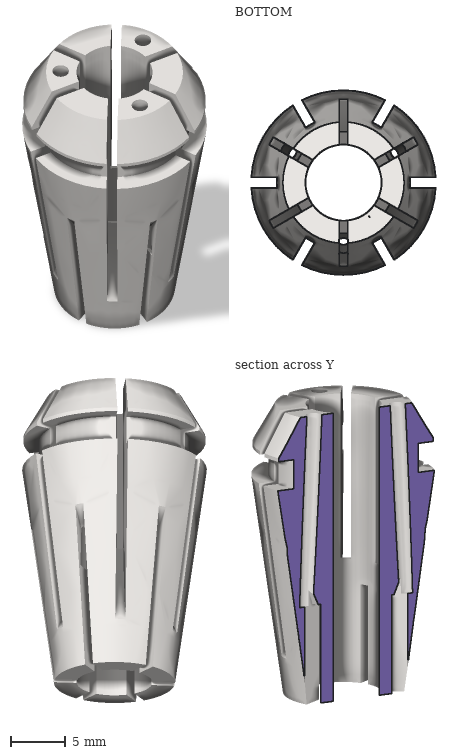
import cadquery as cq
import math

height = 27.5
bore_radius = 3.5
body_radius = 8.5
body_height = 20.8
taper_angle = 8.0
groove_radius = 6.93
head_radius = 8.4
head_height = 4.0
rim_height = 0.35
nose_angle = 30.0

slots_per_end = 6
slot_pitch = 360.0 / slots_per_end
slot_reach = body_radius + 1.38

top_slot_width = 0.95
top_saw_radius = 23.82
top_slot_inner = (3.75, 11.8)
top_slot_outer_z = 4.02
top_ledge_angle = 8.0

bottom_slot_width = 0.8
bottom_saw_radius = 20.08
bottom_slot_inner = (4.68, 9.4)
bottom_slot_outer_z = 14.95

hole_count = 3
hole_diameter = 1.5
hole_circle_radius = 4.95
hole_tilt = 3.1
hole_depth = 18.15
first_hole_angle = 90.0

taper_slope = math.tan(math.radians(taper_angle))
bottom_radius = body_radius - body_height * taper_slope


def taper_radius(z):
    """Radius of the clamping taper at height z."""
    return bottom_radius + z * taper_slope


def make_body():
    """Revolved collet body with its bore, neck groove and nose cone."""
    rim_bottom = height - head_height
    rim_top = rim_bottom + rim_height
    nose_radius = head_radius - (height - rim_top) * math.tan(math.radians(nose_angle))
    outline = [
        (bore_radius, 0),
        (bottom_radius, 0),
        (body_radius, body_height),
        (groove_radius, body_height),
        (groove_radius, rim_bottom),
        (head_radius, rim_bottom),
        (head_radius, rim_top),
        (nose_radius, height),
        (bore_radius, height),
    ]
    return cq.Workplane("XZ").polyline(outline).close().revolve(360, (0, 0, 0), (0, 1, 0))


def saw_arc_middle(inner, outer, saw_radius):
    """Middle of the saw-cut arc, which bulges toward the axis and away from the open end."""
    run = outer[0] - inner[0]
    rise = outer[1] - inner[1]
    chord = math.hypot(run, rise)
    sagitta = saw_radius - math.sqrt(saw_radius**2 - (chord / 2) ** 2)
    middle_radius = (inner[0] + outer[0]) / 2 - sagitta * abs(rise) / chord
    middle_z = (inner[1] + outer[1]) / 2 + sagitta * math.copysign(run, rise) / chord
    return middle_radius, middle_z


def make_slot(width, inner, outer_z, saw_radius, axis_z, open_z):
    """Cutter for one slot along +X, from the axis outward and open at height open_z."""
    outer = (taper_radius(outer_z), outer_z)
    return (
        cq.Workplane("XZ")
        .moveTo(0, axis_z)
        .lineTo(*inner)
        .threePointArc(saw_arc_middle(inner, outer, saw_radius), outer)
        .lineTo(slot_reach, outer_z)
        .lineTo(slot_reach, open_z)
        .lineTo(0, open_z)
        .close()
        .extrude(width / 2, both=True)
    )


def make_hole():
    """Cutter for one inclined hole, placed on +X and leaning outward downward."""
    tilt = math.radians(hole_tilt)
    down = cq.Vector(math.sin(tilt), 0, -math.cos(tilt))
    mouth = cq.Vector(hole_circle_radius, 0, height)
    overrun = hole_diameter
    cutter = cq.Solid.makeCylinder(
        hole_diameter / 2, hole_depth + overrun, mouth - down * overrun, down
    )
    return cq.Workplane(cutter)


def cut_around(part, cutter, count, first_angle):
    """Cut count evenly spaced copies of the cutter around the Z axis."""
    for index in range(count):
        angle = first_angle + index * 360.0 / count
        part = part.cut(cutter.rotate((0, 0, 0), (0, 0, 1), angle))
    return part


top_ledge_drop = top_slot_inner[0] * math.tan(math.radians(top_ledge_angle))
top_slot = make_slot(
    top_slot_width,
    top_slot_inner,
    top_slot_outer_z,
    top_saw_radius,
    axis_z=top_slot_inner[1] - top_ledge_drop,
    open_z=height,
)
bottom_slot = make_slot(
    bottom_slot_width,
    bottom_slot_inner,
    bottom_slot_outer_z,
    bottom_saw_radius,
    axis_z=bottom_slot_inner[1],
    open_z=0,
)

result = make_body()
result = cut_around(result, top_slot, slots_per_end, 0)
result = cut_around(result, bottom_slot, slots_per_end, slot_pitch / 2)
result = cut_around(result, make_hole(), hole_count, first_hole_angle)